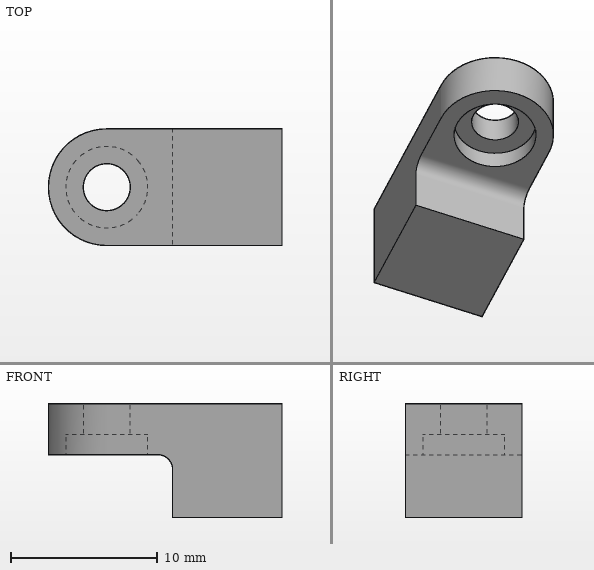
import cadquery as cq

length = 16.0
width = 8.0
height = 7.8

end_radius = width / 2
tongue_thickness = 3.5
block_length = 7.5
corner_radius = 1.0
hole_diameter = 3.2
counterbore_diameter = 5.6
counterbore_depth = 1.4

block_end = length - end_radius
block_start = block_end - block_length
tongue_bottom = height - tongue_thickness


def side_profile():
    """L-shaped bracket with a rounded inner corner, extruded across the width."""
    return (
        cq.Workplane("XZ")
        .moveTo(-end_radius, height)
        .lineTo(block_end, height)
        .lineTo(block_end, 0)
        .lineTo(block_start, 0)
        .lineTo(block_start, tongue_bottom - corner_radius)
        .radiusArc((block_start - corner_radius, tongue_bottom), -corner_radius)
        .lineTo(-end_radius, tongue_bottom)
        .close()
        .extrude(end_radius, both=True)
    )


def plan_outline():
    """Full-height plan shape: straight sides and a semicircular end."""
    return (
        cq.Workplane("XY")
        .moveTo(block_end, -end_radius)
        .lineTo(block_end, end_radius)
        .lineTo(0, end_radius)
        .threePointArc((-end_radius, 0), (0, -end_radius))
        .close()
        .extrude(height)
    )


hole = cq.Workplane("XY").circle(hole_diameter / 2).extrude(height)

counterbore = (
    cq.Workplane("XY")
    .workplane(offset=tongue_bottom)
    .circle(counterbore_diameter / 2)
    .extrude(counterbore_depth)
)

result = side_profile().intersect(plan_outline()).cut(hole).cut(counterbore)